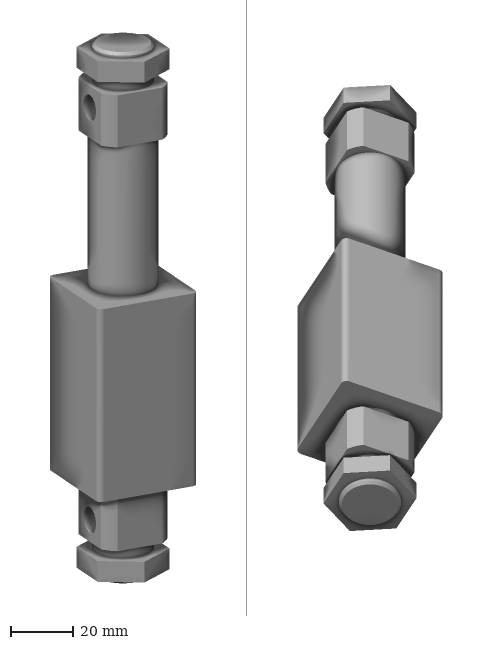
import cadquery as cq
import math

total_length = 182.0
mid_height = total_length / 2

tube_diameter = 22.8
stud_diameter = 20.0
stud_chamfer = 1.0
nut_across_flats = 26.0
nut_thickness = 7.1
nut_setback = 1.8
cover_setback = 13.0
cover_width = 24.0
cover_length = 17.8
cover_corner_diameter = 29.0
port_diameter = 8.7
port_depth = 5.0
port_setback = 20.4

block_width = 36.0
block_length = 66.0
block_bottom = 33.1
block_corner_radius = 2.0


def make_lower_end():
    """Threaded stud, hexagon nut and ported square cover of the lower end."""
    cover_top = cover_setback + cover_length
    stud = cq.Workplane("XY").circle(stud_diameter / 2).extrude(cover_top)
    stud = stud.faces("<Z").chamfer(stud_chamfer)
    nut_across_corners = nut_across_flats / math.cos(math.pi / 6)
    nut = (
        cq.Workplane("XY", origin=(0, 0, nut_setback))
        .polygon(6, nut_across_corners)
        .extrude(nut_thickness)
    )
    cover_base = cq.Workplane("XY", origin=(0, 0, cover_setback))
    cover_round = cover_base.circle(cover_corner_diameter / 2).extrude(cover_length)
    cover = cover_base.rect(cover_width, cover_width).extrude(cover_length).intersect(cover_round)
    port = (
        cq.Workplane("XZ", origin=(0, -cover_width / 2, port_setback))
        .circle(port_diameter / 2)
        .extrude(-port_depth)
    )
    return stud.union(nut).union(cover).cut(port)


def make_cylinder():
    """Tube joined to a lower end and its mirror image at the top."""
    tube_bottom = cover_setback + cover_length
    tube = (
        cq.Workplane("XY", origin=(0, 0, tube_bottom))
        .circle(tube_diameter / 2)
        .extrude(total_length - 2 * tube_bottom)
    )
    lower_end = make_lower_end()
    upper_end = lower_end.mirror("XY", (0, 0, mid_height))
    return tube.union(lower_end).union(upper_end)


def make_sliding_block():
    """Square block with a through bore that fits the tube."""
    block = (
        cq.Workplane("XY", origin=(0, 0, block_bottom))
        .rect(block_width, block_width)
        .extrude(block_length)
        .edges("|Z")
        .fillet(block_corner_radius)
    )
    return block.faces(">Z").workplane().hole(tube_diameter)


cylinder = make_cylinder()
sliding_block = make_sliding_block()
result = cq.Compound.makeCompound([cylinder.val(), sliding_block.val()])